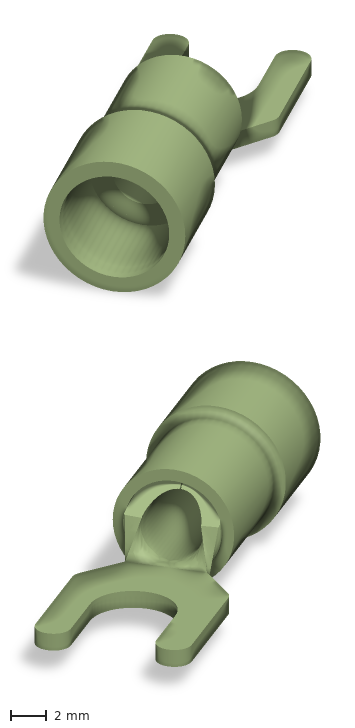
import cadquery as cq
import math


collar_radius = 4.1
sleeve_radius = 3.55
collar_bore_radius = 3.17
collar_length = 6.27
sleeve_end = 13.95

barrel_radius = 2.86
stock = 1.03
bore_radius = barrel_radius - stock
seam_width = 0.08
barrel_start = collar_length
barrel_end = 14.25
mouth_slope = 39.0
mouth_height = 0.83

tip_end = 25.8
blade_width = 9.15
blade_half_width = blade_width / 2
neck_half_width = 2.4
blade_start = 15.3
shoulder = 17.8
shoulder_fillet = 1.0
slot_radius = 2.5
slot_center = 21.3
tip_fillet = 1.0
blade_bottom = -barrel_radius
blade_top = blade_bottom + stock

neck_top = 0.75


def make_sleeve():
    """Stepped insulating tube, bored to seat the barrel."""
    fillet_radius = collar_radius - sleeve_radius
    fillet_end = collar_length + fillet_radius
    reach = fillet_radius * (1 - math.sqrt(0.5))
    fillet_middle = (sleeve_radius + reach, collar_length + reach)
    return (
        cq.Workplane("XY")
        .moveTo(collar_bore_radius, 0)
        .lineTo(collar_radius, 0)
        .lineTo(collar_radius, collar_length)
        .threePointArc(fillet_middle, (sleeve_radius, fillet_end))
        .lineTo(sleeve_radius, sleeve_end)
        .lineTo(barrel_radius, sleeve_end)
        .lineTo(barrel_radius, barrel_start)
        .lineTo(collar_bore_radius, barrel_start)
        .close()
        .revolve(360, (0, 0, 0), (0, 1, 0))
    )


def make_barrel():
    """Rolled tube with an open seam along its top."""
    length = barrel_end - barrel_start
    tube = (
        cq.Workplane("XZ", origin=(0, barrel_start, 0))
        .circle(barrel_radius)
        .circle(bore_radius)
        .extrude(-length)
    )
    seam = cq.Workplane("XY").box(
        seam_width, length, barrel_radius, centered=(True, False, False)
    ).translate((0, barrel_start, 0))
    return tube.cut(seam)


def make_neck():
    """Ruled transition from a U-shaped barrel section to the flat blade section."""
    outer_x = math.sqrt(barrel_radius**2 - neck_top**2)
    inner_x = math.sqrt(bore_radius**2 - neck_top**2)

    def at_barrel(x, z):
        return cq.Vector(x, barrel_end, z)

    def at_blade(x, z):
        return cq.Vector(x, blade_start, z)

    barrel_corners = [
        at_barrel(-outer_x, neck_top),
        at_barrel(outer_x, neck_top),
        at_barrel(inner_x, neck_top),
        at_barrel(-inner_x, neck_top),
    ]
    blade_corners = [
        at_blade(-neck_half_width, blade_bottom),
        at_blade(neck_half_width, blade_bottom),
        at_blade(neck_half_width, blade_top),
        at_blade(-neck_half_width, blade_top),
    ]
    left_outer, right_outer, right_inner, left_inner = barrel_corners
    barrel_edges = [
        cq.Edge.makeThreePointArc(left_outer, at_barrel(0, -barrel_radius), right_outer),
        cq.Edge.makeLine(right_outer, right_inner),
        cq.Edge.makeThreePointArc(right_inner, at_barrel(0, -bore_radius), left_inner),
        cq.Edge.makeLine(left_inner, left_outer),
    ]
    blade_edges = [
        cq.Edge.makeLine(start, end)
        for start, end in zip(blade_corners, blade_corners[1:] + blade_corners[:1])
    ]
    walls = [cq.Face.makeRuledSurface(*pair) for pair in zip(barrel_edges, blade_edges)]
    ends = [
        cq.Face.makeFromWires(cq.Wire.assembleEdges(edges))
        for edges in (barrel_edges, blade_edges)
    ]
    neck = cq.Solid.makeSolid(cq.Shell.makeShell(walls + ends)).fix()
    return cq.Workplane("XY").add(neck)


def make_mouth_cutter():
    """Wedge above the sloping cut at the front of the barrel."""
    fall = math.tan(math.radians(mouth_slope))
    back = sleeve_end - (barrel_radius - mouth_height) / fall
    front_height = mouth_height - (blade_start - sleeve_end) * fall
    return (
        cq.Workplane("YZ")
        .moveTo(back, barrel_radius)
        .lineTo(blade_start, front_height)
        .lineTo(blade_start, barrel_radius)
        .close()
        .extrude(barrel_radius, both=True)
    )


def make_blade():
    """Flat fork with tapered shoulders, a round-bottomed slot and rounded prongs."""
    blade = (
        cq.Workplane("XY", origin=(0, 0, blade_bottom))
        .moveTo(-neck_half_width, blade_start)
        .lineTo(neck_half_width, blade_start)
        .lineTo(blade_half_width, shoulder)
        .lineTo(blade_half_width, tip_end)
        .lineTo(slot_radius, tip_end)
        .lineTo(slot_radius, slot_center)
        .threePointArc((0, slot_center - slot_radius), (-slot_radius, slot_center))
        .lineTo(-slot_radius, tip_end)
        .lineTo(-blade_half_width, tip_end)
        .lineTo(-blade_half_width, shoulder)
        .close()
        .extrude(stock)
    )
    blade = blade.faces(">Y").edges("|Z").fillet(tip_fillet)
    for side in (-1, 1):
        corner = (side * blade_half_width, shoulder, blade_bottom + stock / 2)
        blade = blade.edges(cq.NearestToPointSelector(corner)).fillet(shoulder_fillet)
    return blade


def make_terminal():
    """One-piece metal terminal: barrel, neck and fork blade."""
    rolled = make_barrel().union(make_neck()).cut(make_mouth_cutter())
    return rolled.union(make_blade())


sleeve = make_sleeve()
terminal = make_terminal()

result = cq.Compound.makeCompound([sleeve.val(), terminal.solids().val()])